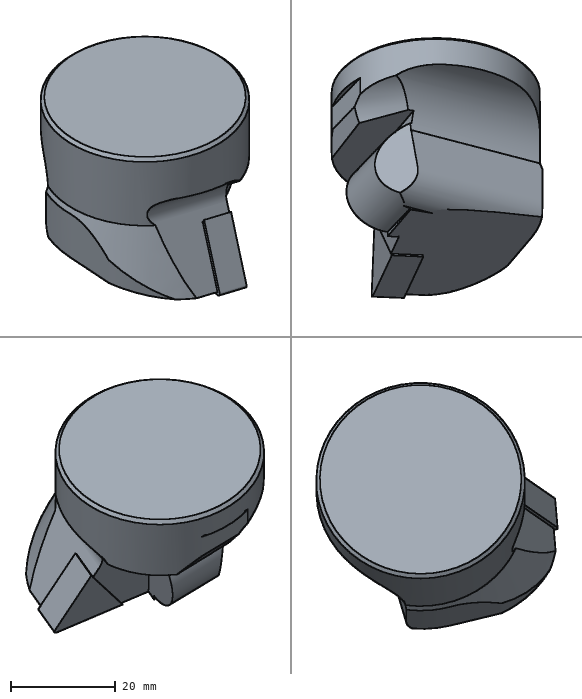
import cadquery as cq
import math

head_diameter = 40.0
head_radius = head_diameter / 2
top_chamfer = 0.7
neck_z = -15.95
flare_ratio = 0.43
reach = 46.85

shank_left = -8.2
shank_front = -20.5
front_flat_end = 10.3
nose_middle = (19.2, -16.3)
nose_end = (23.65, -11.7)
shank_right = 28.1
shank_floor = -37.5
heel_radius = 5.62
heel_z = -23.9

cove_radius = 10.45
cove_top = -6.35
rear_corner_y = 9.37
left_wall_angle = 180.0
rear_wall_angle = 140.0
rear_wall_tilt = 6.5
rear_flat_y = 19.1
rear_flat_top = -5.62
rear_bevel_top = -10.8
rear_bevel_slope = 0.58

insert_tip = (27.33, 0.15, -32.05)
insert_side = 15.45
insert_angle = 57.0
insert_thickness = 6.3
tip_radius = 0.55
flank_relief = 0.7
bottom_relief = 0.6

rake_normal = (-0.2, -0.98, 0.11)
edge_x = 1.0
edge_z = -0.05
edge_y = -(rake_normal[0] * edge_x + rake_normal[2] * edge_z) / rake_normal[1]
rake_plane = cq.Plane(origin=insert_tip, xDir=(edge_x, edge_y, edge_z), normal=rake_normal)

gullet_diameter = 8.0
gullet_distance = 17.58
pocket_height = 18.1
pocket_left = -21.1

lump_radius = 7.85
lump_y = 6.7
lump_z = -21.85


def along_flank(distance, offset):
    """Local point at a distance up the flank, offset to its outer side."""
    angle = math.radians(insert_angle)
    x = -distance * math.cos(angle) + offset * math.sin(angle)
    y = distance * math.sin(angle) + offset * math.cos(angle)
    return (x, y)


def make_flange():
    flange = cq.Workplane("XY").circle(head_radius).extrude(neck_z)
    return flange.faces(">Z").edges().chamfer(top_chamfer)


def make_shank():
    """Prism of the plan outline, trimmed by the cone that flares out from the flange."""
    front_radius = -shank_front
    corner_y = -math.sqrt(front_radius**2 - shank_left**2)
    bend_angle = math.asin(shank_left / front_radius) / 2
    bend_middle = (front_radius * math.sin(bend_angle), -front_radius * math.cos(bend_angle))
    prism = (
        cq.Workplane("XY").workplane(offset=neck_z)
        .moveTo(shank_left, corner_y)
        .threePointArc(bend_middle, (0, shank_front))
        .lineTo(front_flat_end, shank_front)
        .threePointArc(nose_middle, nose_end)
        .lineTo(shank_right, 0)
        .lineTo(shank_right, head_radius)
        .lineTo(shank_left, head_radius)
        .close()
        .extrude(shank_floor - neck_z)
    )
    floor_radius = head_radius + flare_ratio * (neck_z - shank_floor)
    cone = (
        cq.Workplane("XZ")
        .polyline([(0, neck_z), (head_radius, neck_z), (floor_radius, shank_floor), (0, shank_floor)])
        .close()
        .revolve(360, (0, 0), (0, 1))
    )
    return prism.intersect(cone)


def cove_cutter(normal_angle, tilt):
    """Space outside an upright or leaning wall through the rear corner, with a cove at its top."""
    angle = math.radians(normal_angle)
    lean = math.radians(tilt)
    level = math.cos(lean)
    outward = (math.cos(angle) * level, math.sin(angle) * level, -math.sin(lean))
    along_wall = (math.sin(angle), -math.cos(angle), 0)
    wall_plane = cq.Plane(origin=(shank_left, rear_corner_y, neck_z), xDir=outward, normal=along_wall)
    cove_rise = cove_top - neck_z
    cove_base = cove_rise - cove_radius
    bulge = cove_radius * math.sqrt(0.5)
    return (
        cq.Workplane(wall_plane)
        .moveTo(0, -reach)
        .lineTo(0, cove_base)
        .threePointArc((cove_radius - bulge, cove_base + bulge), (cove_radius, cove_rise))
        .lineTo(reach, cove_rise)
        .lineTo(reach, -reach)
        .close()
        .extrude(reach, both=True)
    )


def heel_cutter():
    """Corner outside the rounded heel, where the left wall meets the bottom."""
    center_x = shank_left + heel_radius
    corner = (
        cq.Workplane("XZ")
        .polyline([(center_x, heel_z), (-reach, heel_z), (-reach, -reach), (center_x, -reach)])
        .close()
        .extrude(reach, both=True)
    )
    heel = cq.Workplane("XZ").center(center_x, heel_z).circle(heel_radius).extrude(reach, both=True)
    return corner.cut(heel)


def rear_flat_cutter():
    """Space behind the neck: an upright flat that turns into a bevel lower down."""
    bevel_end_y = rear_flat_y - rear_bevel_slope * (rear_bevel_top - neck_z)
    return (
        cq.Workplane("YZ")
        .polyline([
            (rear_flat_y, rear_flat_top),
            (rear_flat_y, rear_bevel_top),
            (bevel_end_y, neck_z),
            (reach, neck_z),
            (reach, rear_flat_top),
        ])
        .close()
        .extrude(reach, both=True)
    )


def bottom_cutter():
    """Everything below the sloping bottom, which runs parallel to the lower insert edge."""
    return (
        cq.Workplane(rake_plane)
        .center(0, bottom_relief - reach / 2)
        .rect(3 * reach, reach)
        .extrude(reach, both=True)
    )


def flank_cutter():
    """Space outside the holder flank, ending at the top in the round gullet."""
    radius = gullet_diameter / 2
    gullet_center = along_flank(gullet_distance, radius - flank_relief)
    flank = (
        cq.Workplane(rake_plane)
        .polyline([
            along_flank(-reach, -flank_relief),
            along_flank(gullet_distance, -flank_relief),
            gullet_center,
            (reach, gullet_center[1]),
        ])
        .close()
        .extrude(reach, both=True)
    )
    gullet = cq.Workplane(rake_plane).center(*gullet_center).circle(radius).extrude(reach, both=True)
    return flank.union(gullet)


def chip_pocket():
    """Space in front of the rake face, below the pocket ceiling."""
    return (
        cq.Workplane(rake_plane)
        .moveTo(pocket_left, -reach)
        .lineTo(pocket_left, pocket_height)
        .lineTo(reach, pocket_height)
        .lineTo(reach, -reach)
        .close()
        .extrude(-reach)
    )


def lump_cutter():
    """Space around the rounded lump, behind the neck and below the pocket ceiling."""
    space = (
        cq.Workplane(rake_plane)
        .center(0, pocket_height - reach / 2)
        .rect(3 * reach, reach)
        .extrude(reach, both=True)
    )
    behind = cq.Workplane("XY").box(2 * reach, reach, 2 * reach).translate((0, lump_y + reach / 2, 0))
    lump = cq.Workplane("YZ").center(lump_y, lump_z).circle(lump_radius).extrude(reach, both=True)
    neck_back = (
        cq.Workplane("XY").workplane(offset=lump_z)
        .center(0, (lump_y + rear_corner_y) / 2)
        .rect(2 * reach, rear_corner_y - lump_y)
        .extrude(reach)
    )
    return space.intersect(behind).cut(lump).cut(neck_back)


def make_insert():
    plate = (
        cq.Workplane(rake_plane)
        .polyline([(0, 0), along_flank(insert_side, 0), (-insert_side, 0)])
        .close()
        .extrude(insert_thickness)
    )
    tip_edge = cq.selectors.NearestToPointSelector(rake_plane.toWorldCoords((0, 0, insert_thickness / 2)))
    return plate.edges(tip_edge).fillet(tip_radius)


def make_holder(seated_insert):
    holder = make_flange().union(make_shank()).cut(bottom_cutter())
    holder = holder.cut(heel_cutter()).cut(rear_flat_cutter())
    holder = holder.cut(cove_cutter(left_wall_angle, 0)).cut(cove_cutter(rear_wall_angle, rear_wall_tilt))
    holder = holder.cut(flank_cutter()).cut(chip_pocket()).cut(lump_cutter())
    return holder.cut(seated_insert)


insert = make_insert()
holder = make_holder(insert)

result = cq.Compound.makeCompound([holder.val(), insert.val()])